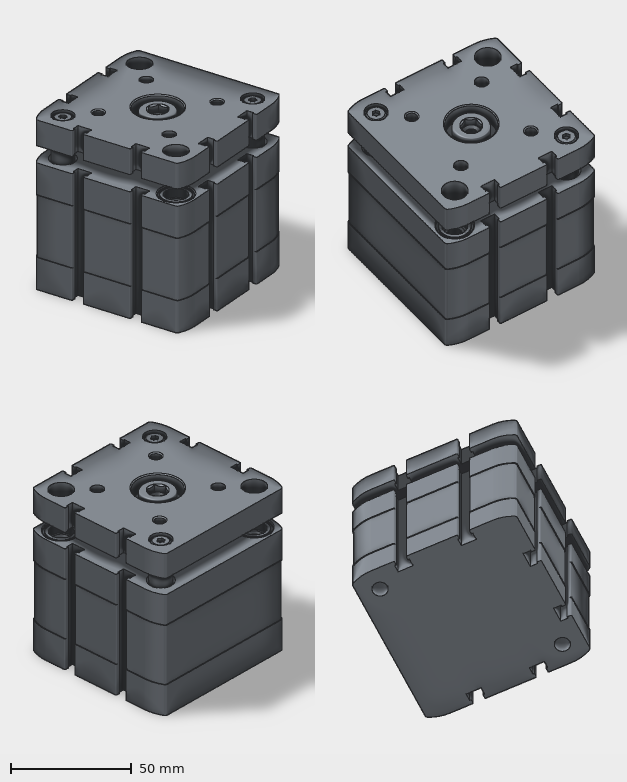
import cadquery as cq
import math

WIDTH = 75.5
HALF_WIDTH = WIDTH / 2
HOUSING_HEIGHT = 59.0
END_CAP_HEIGHT = 15.0
BARREL_HEIGHT = HOUSING_HEIGHT - 2 * END_CAP_HEIGHT
BARREL_INSET = 0.35
PLATE_GAP = 8.0
PLATE_THICKNESS = 12.0
PLATE_BOTTOM = HOUSING_HEIGHT + PLATE_GAP
PLATE_TOP = PLATE_BOTTOM + PLATE_THICKNESS

SIDE_STRAIGHT_HALF = 28.0
CORNER_RADIUS = 20.0
CORNER_TIP_FILLET = 1.5

SLOT_OFFSET = 14.5
SLOT_MOUTH_WIDTH = 5.4
SLOT_INNER_WIDTH = 6.8
SLOT_DEPTH = 5.3
SLOT_LIP = 2.0
SLOT_MOUTH_FILLET = 0.4

CORNER_AXIS = 56.5 / 2
GUIDE_POINTS = [(CORNER_AXIS, CORNER_AXIS), (-CORNER_AXIS, -CORNER_AXIS)]
SCREW_POINTS = [(-CORNER_AXIS, CORNER_AXIS), (CORNER_AXIS, -CORNER_AXIS)]

ROD_DIAMETER = 16.0
ROD_FLATS = 13.0
ROD_FLAT_START = 1.5
ROD_TOP = PLATE_TOP - 1.0
ROD_TOP_FILLET = 1.0
ROD_INSERTION = END_CAP_HEIGHT
HEX_SIZE = 8.0
HEX_DEPTH = 3.6
HEX_MOUTH_DIAMETER = 9.5
DRILL_DIAMETER = 5.0
DRILL_DEPTH = 2.0
DRILL_POINT_ANGLE = math.radians(118)

GUIDE_DIAMETER = 10.0
GUIDE_MOUTH_DIAMETER = 12.0
GUIDE_INSERTION = END_CAP_HEIGHT
GUIDE_RECESS_DEPTH = 1.6
GUIDE_SCREW_DIAMETER = 8.57
GUIDE_SCREW_HEIGHT = 1.0
GUIDE_SCREW_CHAMFER = 0.6
GUIDE_HEX_SIZE = 3.0
GUIDE_HEX_DEPTH = 1.5
GUIDE_HEX_TURN = 30

CENTRE_RECESS_DIAMETER = 22.0
CENTRE_RECESS_DEPTH = 7.5
CENTRE_RECESS_CHAMFER = 0.5
ACCESS_HOLE_DIAMETER = 11.0
MOUNT_AXIS = 25.0 * math.sqrt(0.5)
PIN_HOLE_DIAMETER = 6.0
PIN_POINTS = [(-MOUNT_AXIS, MOUNT_AXIS), (MOUNT_AXIS, -MOUNT_AXIS)]
THREAD_HOLE_DIAMETER = 4.92
THREAD_MOUTH_DIAMETER = 6.0
THREAD_POINTS = [(MOUNT_AXIS, MOUNT_AXIS), (-MOUNT_AXIS, -MOUNT_AXIS)]

SOCKET_DIAMETER = 15.5
SOCKET_MOUTH_DIAMETER = 16.4
SOCKET_DEPTH = 0.9
SOCKET_RIM_DIAMETER = 14.0
SOCKET_RIM_HEIGHT = 0.6
SOCKET_RIM_CHAMFER = 0.4
SOCKET_BORE_DIAMETER = 10.6
SOCKET_BORE_DEPTH = 4.5
SOCKET_THREAD_DIAMETER = 6.65
SOCKET_THREAD_MOUTH = 8.5


def cylinder(points, diameter, bottom, top):
    """Upright cylinders between two heights."""
    plane = cq.Workplane("XY").workplane(offset=bottom)
    return plane.pushPoints(points).circle(diameter / 2).extrude(top - bottom)


def cone(points, bottom_diameter, bottom, top_diameter, top):
    """Upright cones between two heights, opening upwards."""
    solid = cq.Solid.makeCone(bottom_diameter / 2, top_diameter / 2, top - bottom)
    return cq.Workplane("XY").pushPoints(points).eachpoint(solid.moved(cq.Location((0, 0, bottom))))


def chamfered_mouth(points, hole_diameter, mouth_diameter, top):
    """45 degree countersinks that open a hole to the mouth diameter at the top face."""
    depth = (mouth_diameter - hole_diameter) / 2
    return cone(points, hole_diameter, top - depth, mouth_diameter, top)


def slot_cutter(face, bottom, top):
    """One slot opening towards -Y through a face at Y = -face, with rounded mouth edges."""
    half_mouth = SLOT_MOUTH_WIDTH / 2
    half_inner = SLOT_INNER_WIDTH / 2
    floor = -HALF_WIDTH + SLOT_DEPTH
    lip_back = -HALF_WIDTH + SLOT_LIP
    flare = half_mouth + SLOT_MOUTH_FILLET
    lip_start = -face + SLOT_MOUTH_FILLET
    sag = SLOT_MOUTH_FILLET * (1 - math.sqrt(0.5))
    arc_x = half_mouth + sag
    arc_y = -face + sag
    return (
        cq.Workplane("XY")
        .workplane(offset=bottom)
        .moveTo(-flare, -face)
        .threePointArc((-arc_x, arc_y), (-half_mouth, lip_start))
        .lineTo(-half_mouth, lip_back)
        .lineTo(-half_inner, lip_back)
        .lineTo(-half_inner, floor)
        .lineTo(half_inner, floor)
        .lineTo(half_inner, lip_back)
        .lineTo(half_mouth, lip_back)
        .lineTo(half_mouth, lip_start)
        .threePointArc((arc_x, arc_y), (flare, -face))
        .close()
        .extrude(top - bottom)
    )


def profile_block(inset, bottom, top):
    """Slotted outline with barrel-shaped corners, drawn in by an inset and extruded."""
    face = HALF_WIDTH - inset
    radius = CORNER_RADIUS - inset
    end_angle = math.asin((face - SIDE_STRAIGHT_HALF) / radius)
    centre_x = face - radius

    def on_corner(angle):
        return centre_x + radius * math.cos(angle), SIDE_STRAIGHT_HALF + radius * math.sin(angle)

    mid_x, mid_y = on_corner(end_angle / 2)
    end_x, end_y = on_corner(end_angle)
    block = (
        cq.Workplane("XY")
        .workplane(offset=bottom)
        .moveTo(face, -SIDE_STRAIGHT_HALF)
        .lineTo(face, SIDE_STRAIGHT_HALF)
        .threePointArc((mid_x, mid_y), (end_x, end_y))
        .lineTo(-end_x, end_y)
        .threePointArc((-mid_x, mid_y), (-face, SIDE_STRAIGHT_HALF))
        .lineTo(-face, -SIDE_STRAIGHT_HALF)
        .threePointArc((-mid_x, -mid_y), (-end_x, -end_y))
        .lineTo(end_x, -end_y)
        .threePointArc((mid_x, -mid_y), (face, -SIDE_STRAIGHT_HALF))
        .close()
        .extrude(top - bottom)
    )
    block = block.edges("(>Y or <Y) and |Z").fillet(CORNER_TIP_FILLET)
    slot = slot_cutter(face, bottom, top)
    for side_angle in (-90, 0, 90):
        for offset in (-SLOT_OFFSET, SLOT_OFFSET):
            placed_slot = slot.translate((offset, 0, 0))
            block = block.cut(placed_slot.rotate((0, 0, 0), (0, 0, 1), side_angle))
    return block


def make_housing():
    """Barrel between two end caps, with rod holes and the corner screw sockets."""
    barrel_top = END_CAP_HEIGHT + BARREL_HEIGHT
    body = profile_block(0, 0, END_CAP_HEIGHT)
    body = body.union(profile_block(BARREL_INSET, END_CAP_HEIGHT, barrel_top))
    body = body.union(profile_block(0, barrel_top, HOUSING_HEIGHT))

    top = HOUSING_HEIGHT
    body = body.cut(cylinder([(0, 0)], ROD_DIAMETER, top - ROD_INSERTION, top))
    body = body.cut(cylinder(GUIDE_POINTS, GUIDE_DIAMETER, top - GUIDE_INSERTION, top))
    body = body.cut(chamfered_mouth(GUIDE_POINTS, GUIDE_DIAMETER, GUIDE_MOUTH_DIAMETER, top))

    floor = top - SOCKET_BORE_DEPTH
    seat = top - SOCKET_DEPTH
    rim_top = seat + SOCKET_RIM_HEIGHT
    body = body.cut(cylinder(SCREW_POINTS, SOCKET_DIAMETER, seat, top))
    rims = cylinder(SCREW_POINTS, SOCKET_RIM_DIAMETER, seat, rim_top)
    body = body.union(rims.faces(">Z").edges().chamfer(SOCKET_RIM_CHAMFER))
    body = body.cut(cylinder(SCREW_POINTS, SOCKET_BORE_DIAMETER, floor, top))
    body = body.cut(chamfered_mouth(SCREW_POINTS, SOCKET_DIAMETER, SOCKET_MOUTH_DIAMETER, top))
    body = body.cut(cylinder(SCREW_POINTS, SOCKET_THREAD_DIAMETER, 0, floor))
    return body.cut(chamfered_mouth(SCREW_POINTS, SOCKET_THREAD_DIAMETER, SOCKET_THREAD_MOUTH, floor))


def make_piston_rod():
    """Round rod with two wrench flats that run out at 45 degrees, and a hex socket on top."""
    bottom = HOUSING_HEIGHT - ROD_INSERTION
    rod = cylinder([(0, 0)], ROD_DIAMETER, bottom, ROD_TOP)

    half_flats = ROD_FLATS / 2
    flat_bottom = HOUSING_HEIGHT + ROD_FLAT_START
    outside = ROD_DIAMETER / 2
    flat_cutter = (
        cq.Workplane("YZ")
        .moveTo(half_flats, flat_bottom)
        .lineTo(outside, flat_bottom - (outside - half_flats))
        .lineTo(outside, PLATE_BOTTOM)
        .lineTo(half_flats, PLATE_BOTTOM)
        .close()
        .extrude(outside, both=True)
    )
    rod = rod.cut(flat_cutter).cut(flat_cutter.mirror("XZ"))
    rod = rod.faces(">Z").edges().fillet(ROD_TOP_FILLET)

    hex_floor = ROD_TOP - HEX_DEPTH
    hex_corners = HEX_SIZE / math.cos(math.pi / 6)
    hex_socket = (
        cq.Workplane("XY").workplane(offset=hex_floor).polygon(6, hex_corners).extrude(HEX_DEPTH)
    )
    point_slope = math.tan(DRILL_POINT_ANGLE / 2)
    funnel_depth = (HEX_SIZE - DRILL_DIAMETER) / 2 / point_slope
    funnel_bottom = hex_floor - funnel_depth
    drill_bottom = funnel_bottom - DRILL_DEPTH
    drill_tip = drill_bottom - DRILL_DIAMETER / 2 / point_slope
    rod = rod.cut(hex_socket)
    rod = rod.cut(chamfered_mouth([(0, 0)], HEX_SIZE, HEX_MOUTH_DIAMETER, ROD_TOP))
    rod = rod.cut(cone([(0, 0)], DRILL_DIAMETER, funnel_bottom, HEX_SIZE, hex_floor))
    rod = rod.cut(cylinder([(0, 0)], DRILL_DIAMETER, drill_bottom, funnel_bottom))
    return rod.cut(cone([(0, 0)], 0, drill_tip, DRILL_DIAMETER, drill_bottom))


def make_guide_screw_head(point):
    """Low chamfered screw head with a hex socket, seated in the plate recess of a guide rod."""
    seat = PLATE_TOP - GUIDE_RECESS_DEPTH
    head = cylinder([point], GUIDE_SCREW_DIAMETER, seat, seat + GUIDE_SCREW_HEIGHT)
    return head.faces(">Z").edges().chamfer(GUIDE_SCREW_CHAMFER)


def make_guided_plate():
    """Front plate fixed to the piston rod and to the two guide rods."""
    plate = profile_block(0, PLATE_BOTTOM, PLATE_TOP)
    recess_floor = PLATE_TOP - CENTRE_RECESS_DEPTH
    recess_mouth = CENTRE_RECESS_DIAMETER + 2 * CENTRE_RECESS_CHAMFER
    plate = plate.cut(cylinder([(0, 0)], CENTRE_RECESS_DIAMETER, recess_floor, PLATE_TOP))
    plate = plate.cut(chamfered_mouth([(0, 0)], CENTRE_RECESS_DIAMETER, recess_mouth, PLATE_TOP))
    plate = plate.cut(cylinder([(0, 0)], ROD_DIAMETER, PLATE_BOTTOM, recess_floor))
    plate = plate.union(make_piston_rod())

    plate = plate.cut(cylinder(SCREW_POINTS, ACCESS_HOLE_DIAMETER, PLATE_BOTTOM, PLATE_TOP))
    plate = plate.cut(cylinder(PIN_POINTS, PIN_HOLE_DIAMETER, PLATE_BOTTOM, PLATE_TOP))
    plate = plate.cut(cylinder(THREAD_POINTS, THREAD_HOLE_DIAMETER, PLATE_BOTTOM, PLATE_TOP))
    plate = plate.cut(
        chamfered_mouth(THREAD_POINTS, THREAD_HOLE_DIAMETER, THREAD_MOUTH_DIAMETER, PLATE_TOP)
    )

    guide_bottom = HOUSING_HEIGHT - GUIDE_INSERTION
    guide_seat = PLATE_TOP - GUIDE_RECESS_DEPTH
    plate = plate.union(cylinder(GUIDE_POINTS, GUIDE_DIAMETER, guide_bottom, PLATE_BOTTOM))
    plate = plate.cut(cylinder(GUIDE_POINTS, GUIDE_DIAMETER, guide_seat, PLATE_TOP))
    for point in GUIDE_POINTS:
        plate = plate.union(make_guide_screw_head(point))
    hex_corners = GUIDE_HEX_SIZE / math.cos(math.pi / 6)
    hex_bottom = guide_seat + GUIDE_SCREW_HEIGHT - GUIDE_HEX_DEPTH
    guide_hex = (
        cq.Workplane("XY")
        .workplane(offset=hex_bottom)
        .polygon(6, hex_corners)
        .extrude(GUIDE_HEX_DEPTH)
        .rotate((0, 0, 0), (0, 0, 1), GUIDE_HEX_TURN)
    )
    for x, y in GUIDE_POINTS:
        plate = plate.cut(guide_hex.translate((x, y, 0)))
    return plate


housing = make_housing()
guided_plate = make_guided_plate()

result = cq.Compound.makeCompound([housing.val(), guided_plate.val()])